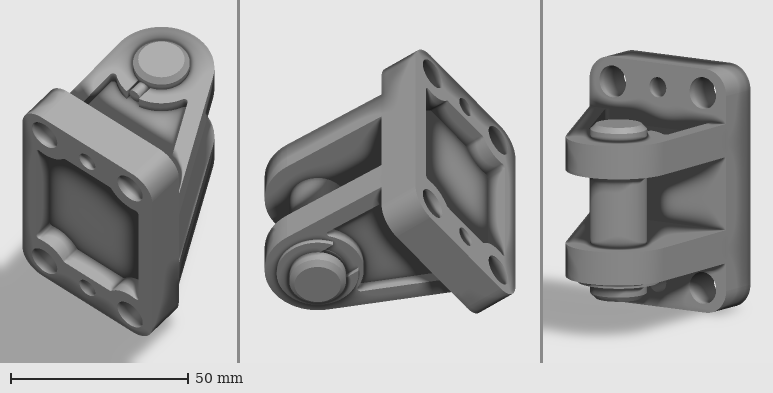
import cadquery as cq
import math

FLANGE_WIDTH = 47.05
FLANGE_HEIGHT = 70.0
FLANGE_THICKNESS = 12.0
FLANGE_CORNER_RADIUS = 7.0
BORDER = 5.0
POCKET_CORNER_RADIUS = 1.0

BOLT_HOLE_DIAMETER = 9.2
SMALL_HOLE_DIAMETER = 5.8
BOLT_SPACING_X = 31.0
BOLT_SPACING_Z = 56.0

RECESS_WIDTH = FLANGE_WIDTH - 2 * BORDER
RECESS_HEIGHT = 46.0
RECESS_DEPTH = 6.0
BOLT_BOSS_RADIUS = 8.6

PIN_FROM_FLANGE_EDGE = 14.0
PIN_X = PIN_FROM_FLANGE_EDGE - FLANGE_WIDTH / 2
PIN_Y = 45.0
LUG_RADIUS = 15.0
LUG_GAP = 21.0
LUG_THICKNESS = 9.5
LUG_OUTER_Z = LUG_GAP / 2 + LUG_THICKNESS

LUG_POCKET_DEPTH = 3.5
PIN_BOSS_RADIUS = 13.0
DOWEL_SLOT_WIDTH = 4.4

PIN_DIAMETER = 16.0
PIN_TOP_Z = 23.7
PIN_LENGTH = 50.0
PIN_CHAMFER = 1.5
DOWEL_DIAMETER = 4.0
DOWEL_REACH = 12.0
DOWEL_PROTRUSION = 0.7
DOWEL_Z = LUG_OUTER_Z + DOWEL_PROTRUSION - DOWEL_DIAMETER / 2

GROOVE_DIAMETER = 12.0
CLIP_DIAMETER = 23.2
CLIP_THICKNESS = 1.3
CLIP_CLEARANCE = 0.2
CLIP_BOTTOM_Z = -LUG_OUTER_Z - CLIP_CLEARANCE - CLIP_THICKNESS


def pin_axis_cylinder(diameter, bottom_z, height):
    """Cylinder on the pin axis."""
    return (
        cq.Workplane("XY", origin=(PIN_X, PIN_Y, bottom_z))
        .circle(diameter / 2)
        .extrude(height)
    )


def flange_prism(sketch, depth):
    """Extrude an XZ outline from the mounting face into the flange."""
    return sketch.extrude(-depth)


def flange_plate():
    outline = cq.Workplane("XZ").rect(FLANGE_WIDTH, FLANGE_HEIGHT)
    return flange_prism(outline, FLANGE_THICKNESS).edges("|Y").fillet(FLANGE_CORNER_RADIUS)


def bolt_circles(radius):
    """Circles on the mounting face at the four bolt positions."""
    return (
        cq.Workplane("XZ")
        .rect(BOLT_SPACING_X, BOLT_SPACING_Z, forConstruction=True)
        .vertices()
        .circle(radius)
    )


def flange_holes():
    bolt_holes = flange_prism(bolt_circles(BOLT_HOLE_DIAMETER / 2), FLANGE_THICKNESS)
    small_circles = (
        cq.Workplane("XZ")
        .pushPoints([(0, -BOLT_SPACING_Z / 2), (0, BOLT_SPACING_Z / 2)])
        .circle(SMALL_HOLE_DIAMETER / 2)
    )
    return bolt_holes.add(flange_prism(small_circles, FLANGE_THICKNESS)).combine()


def flange_recess():
    recess = flange_prism(cq.Workplane("XZ").rect(RECESS_WIDTH, RECESS_HEIGHT), RECESS_DEPTH)
    recess = recess.cut(flange_prism(bolt_circles(BOLT_BOSS_RADIUS), RECESS_DEPTH))
    return recess.edges("|Y").fillet(POCKET_CORNER_RADIUS)


def lug_side(side, inset):
    """Foot and tangent point of one straight lug side: side is -1 at -X and 1 at +X.

    The side runs from the flange corner tangent to the lug's round end, moved inward by inset.
    """
    corner_x = side * FLANGE_WIDTH / 2
    run = abs(corner_x - PIN_X)
    rise = PIN_Y - FLANGE_THICKNESS
    lean = math.atan2(run, rise) - math.asin(LUG_RADIUS / math.hypot(run, rise))
    foot = (corner_x - side * inset / math.cos(lean), FLANGE_THICKNESS)
    radius = LUG_RADIUS - inset
    tangent_point = (PIN_X + side * radius * math.cos(lean), PIN_Y + radius * math.sin(lean))
    return foot, tangent_point


def lug_prism(inset, bottom_z, height):
    """Lug outline, moved inward by inset except at the flange, extruded along Z."""
    left_foot, left_tangent = lug_side(-1, inset)
    right_foot, right_tangent = lug_side(1, inset)
    return (
        cq.Workplane("XY", origin=(0, 0, bottom_z))
        .moveTo(*left_foot)
        .lineTo(*left_tangent)
        .threePointArc((PIN_X, PIN_Y + LUG_RADIUS - inset), right_tangent)
        .lineTo(*right_foot)
        .close()
        .extrude(height)
    )


def lug_pocket(bottom_z):
    pocket = lug_prism(BORDER, bottom_z, LUG_POCKET_DEPTH)
    pocket = pocket.cut(pin_axis_cylinder(2 * PIN_BOSS_RADIUS, bottom_z, LUG_POCKET_DEPTH))
    return pocket.edges("|Z").fillet(POCKET_CORNER_RADIUS)


def dowel_slot():
    """Slot from the pin hole through the boss ring, level with the upper pocket floor."""
    return cq.Workplane("XY").box(
        DOWEL_SLOT_WIDTH, PIN_BOSS_RADIUS, LUG_POCKET_DEPTH, centered=(True, False, False)
    ).translate((PIN_X, PIN_Y - PIN_BOSS_RADIUS, LUG_OUTER_Z - LUG_POCKET_DEPTH))


def make_housing():
    housing = flange_plate()
    for lug_bottom_z in (-LUG_OUTER_Z, LUG_GAP / 2):
        housing = housing.union(lug_prism(0, lug_bottom_z, LUG_THICKNESS))
    for pocket_bottom_z in (-LUG_OUTER_Z, LUG_OUTER_Z - LUG_POCKET_DEPTH):
        housing = housing.cut(lug_pocket(pocket_bottom_z))
    return (
        housing.cut(dowel_slot())
        .cut(pin_axis_cylinder(PIN_DIAMETER, -LUG_OUTER_Z, 2 * LUG_OUTER_Z))
        .cut(flange_holes())
        .cut(flange_recess())
    )


def make_pin():
    pin = pin_axis_cylinder(PIN_DIAMETER, PIN_TOP_Z - PIN_LENGTH, PIN_LENGTH)
    pin = pin.faces("<Z or >Z").chamfer(PIN_CHAMFER)
    groove = pin_axis_cylinder(PIN_DIAMETER, CLIP_BOTTOM_Z, CLIP_THICKNESS).cut(
        pin_axis_cylinder(GROOVE_DIAMETER, CLIP_BOTTOM_Z, CLIP_THICKNESS)
    )
    dowel = (
        cq.Workplane("XZ", origin=(PIN_X, PIN_Y, DOWEL_Z))
        .circle(DOWEL_DIAMETER / 2)
        .extrude(DOWEL_REACH)
    )
    return pin.cut(groove).union(dowel)


def make_clip():
    """Flat retaining clip, open toward the flange by the groove diameter."""
    mouth = cq.Workplane("XY").box(
        GROOVE_DIAMETER, CLIP_DIAMETER / 2, CLIP_THICKNESS, centered=(True, False, False)
    ).translate((PIN_X, PIN_Y - CLIP_DIAMETER / 2, CLIP_BOTTOM_Z))
    return (
        pin_axis_cylinder(CLIP_DIAMETER, CLIP_BOTTOM_Z, CLIP_THICKNESS)
        .cut(pin_axis_cylinder(GROOVE_DIAMETER, CLIP_BOTTOM_Z, CLIP_THICKNESS))
        .cut(mouth)
    )


housing = make_housing()
pin = make_pin()
clip = make_clip()

result = cq.Compound.makeCompound([housing.val(), pin.val(), clip.val()])